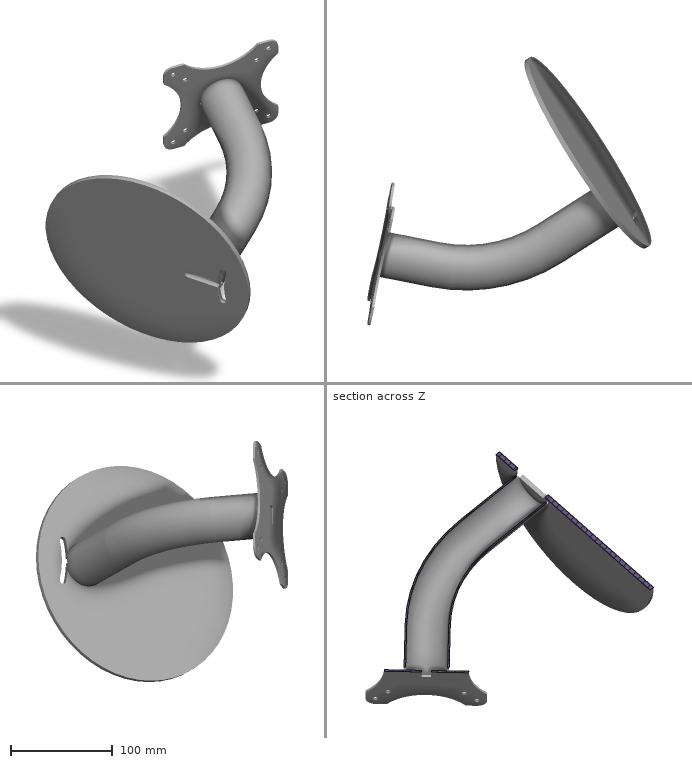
import cadquery as cq
import math

base_diameter = 220.0
base_thickness = 5.0

tube_outer_diameter = 45.0
tube_inner_diameter = 41.0
arm_x = 56.7
lower_length = 80.0
bend_radius = 150.0
bend_angle = 45.0
overall_depth = 272.7

plate_size = 120.0
plate_thickness = 2.5
plate_corner_radius = 10.0
scallop_chord = 78.0
scallop_depth = 18.3
hole_diameter = 5.2
hole_spacings = (75.0, 100.0)
window_width = 9.0
window_height = 18.0

straight_slot_width = 8.2
curved_slot_width = 7.0
straight_slot_start_x = 40.6
curved_slot_mid_x = 80.0
curved_slot_end_x = 82.5
curved_slot_half_span = 20.7
junction_fillet = 0.8

notch_width = 6.0
notch_depth = 3.0

angle = math.radians(bend_angle)
plate_half = plate_size / 2
bend_start_y = base_thickness + lower_length
bend_end = (
    arm_x - bend_radius * (1 - math.cos(angle)),
    bend_start_y + bend_radius * math.sin(angle),
)
bend_middle = (
    arm_x - bend_radius * (1 - math.cos(angle / 2)),
    bend_start_y + bend_radius * math.sin(angle / 2),
)
plate_outer_y = overall_depth - plate_half * math.sin(angle)
upper_length = (plate_outer_y - bend_end[1]) / math.cos(angle) - plate_thickness
plate_inner = (
    bend_end[0] - upper_length * math.sin(angle),
    bend_end[1] + upper_length * math.cos(angle),
)

base_plane = cq.Plane(origin=(0, 0, 0), xDir=(1, 0, 0), normal=(0, 1, 0))
tube_plane = cq.Plane(origin=(arm_x, base_thickness, 0), xDir=(1, 0, 0), normal=(0, 1, 0))
plate_plane = cq.Plane(
    origin=(plate_inner[0], plate_inner[1], 0),
    xDir=(math.cos(angle), math.sin(angle), 0),
    normal=(-math.sin(angle), math.cos(angle), 0),
)


def make_cable_opening():
    """Straight slot running into a curved slot, with filleted junction corners."""
    slot_radius = curved_slot_width / 2
    span = curved_slot_half_span
    sagitta = curved_slot_end_x - curved_slot_mid_x
    path_radius = (span**2 + sagitta**2) / (2 * sagitta)
    center_x = curved_slot_mid_x + path_radius
    sweep = math.asin(span / path_radius)

    def arc_point(radius, turn):
        return (center_x - radius * math.cos(turn), radius * math.sin(turn))

    outer = path_radius + slot_radius
    inner = path_radius - slot_radius
    end_offset = slot_radius * math.sin(sweep)
    end_rise = slot_radius * math.cos(sweep)
    curved = (
        cq.Workplane(base_plane)
        .moveTo(*arc_point(outer, -sweep))
        .threePointArc(arc_point(outer, 0), arc_point(outer, sweep))
        .threePointArc((curved_slot_end_x + end_offset, span + end_rise), arc_point(inner, sweep))
        .threePointArc(arc_point(inner, 0), arc_point(inner, -sweep))
        .threePointArc((curved_slot_end_x + end_offset, -span - end_rise), arc_point(outer, -sweep))
        .close()
        .extrude(base_thickness)
    )
    slot_length = curved_slot_mid_x - straight_slot_start_x + slot_radius
    straight = (
        cq.Workplane(base_plane)
        .center(straight_slot_start_x + slot_length / 2, 0)
        .slot2D(slot_length, straight_slot_width)
        .extrude(base_thickness)
    )
    junction_x = curved_slot_mid_x - slot_radius
    margin = junction_fillet
    junction_corners = cq.selectors.BoxSelector(
        (junction_x - slot_radius / 2, -margin, -straight_slot_width),
        (junction_x + slot_radius / 2, base_thickness + margin, straight_slot_width),
    )
    return curved.union(straight).edges("|Y").edges(junction_corners).fillet(junction_fillet)


def make_base():
    disc = cq.Workplane(base_plane).circle(base_diameter / 2).extrude(base_thickness)
    return disc.cut(make_cable_opening())


def sweep_arm(diameter):
    """Solid round bar along the arm axis: straight, bend, straight."""
    path = (
        cq.Workplane("XY")
        .moveTo(arm_x, base_thickness)
        .lineTo(arm_x, bend_start_y)
        .threePointArc(bend_middle, bend_end)
        .lineTo(*plate_inner)
    )
    return cq.Workplane(tube_plane).circle(diameter / 2).sweep(path)


def make_notch(plane, depth):
    """Bar crossing both tube walls, reaching the signed depth from the plane."""
    return cq.Workplane(plane).rect(2 * tube_outer_diameter, notch_width).extrude(depth)


def make_arm():
    tube = sweep_arm(tube_outer_diameter).cut(sweep_arm(tube_inner_diameter))
    tube = tube.cut(make_notch(tube_plane, notch_depth))
    return tube.cut(make_notch(plate_plane, -notch_depth))


def make_plate():
    plate = (
        cq.Workplane(plate_plane)
        .sketch()
        .rect(plate_size, plate_size)
        .vertices()
        .fillet(plate_corner_radius)
        .finalize()
        .extrude(plate_thickness)
    )
    scallop_radius = ((scallop_chord / 2) ** 2 + scallop_depth**2) / (2 * scallop_depth)
    scallop_center = plate_half - scallop_depth + scallop_radius
    scallops = (
        cq.Workplane(plate_plane)
        .polarArray(scallop_center, 0, 360, 4)
        .circle(scallop_radius)
        .extrude(plate_thickness)
    )
    window = cq.Workplane(plate_plane).rect(window_width, window_height).extrude(plate_thickness)
    plate = plate.cut(scallops).cut(window)
    for spacing in hole_spacings:
        holes = (
            cq.Workplane(plate_plane)
            .rect(spacing, spacing, forConstruction=True)
            .vertices()
            .circle(hole_diameter / 2)
            .extrude(plate_thickness)
        )
        plate = plate.cut(holes)
    return plate


result = make_base().union(make_arm()).union(make_plate())